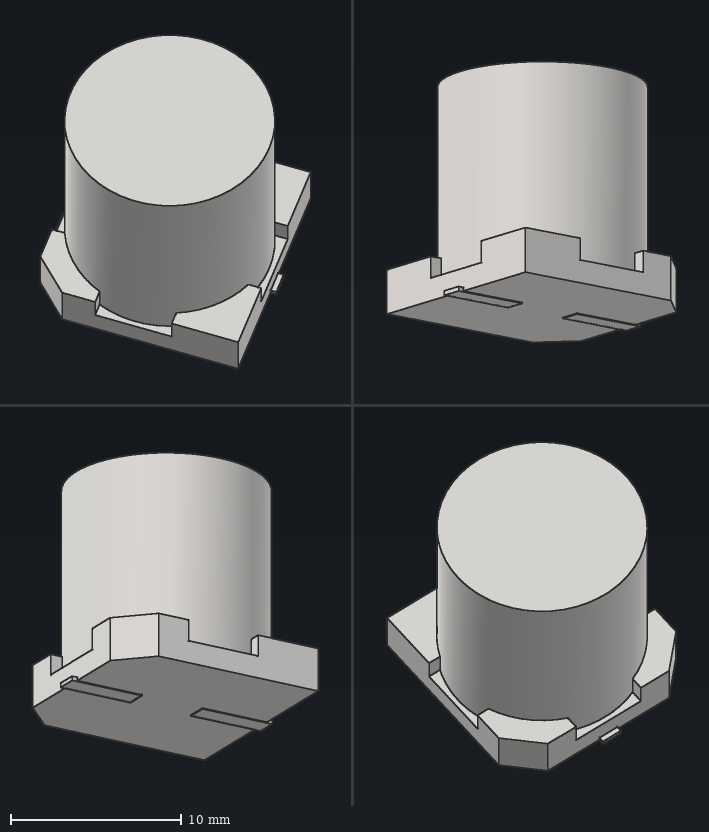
import cadquery as cq

overall_length = 13.69
overall_height = 13.54

base_side = 13.0
base_height = 2.7
standoff = 0.05
corner_chamfer = 2.07
notch_width = 4.75
notch_depth = 1.31

can_diameter = 12.35

lead_length = 4.78
lead_width = 1.33
lead_thickness = 0.27

base_top = standoff + base_height
seat_height = base_top - notch_depth
lead_center_x = (overall_length - lead_length) / 2


def make_lead(side):
    """Flat lead along X; side is -1 or +1."""
    return (
        cq.Workplane("XY")
        .center(side * lead_center_x, 0)
        .rect(lead_length, lead_width)
        .extrude(lead_thickness)
    )


def make_can():
    """Plain cylinder from the seat in the base to the top."""
    return (
        cq.Workplane("XY", origin=(0, 0, seat_height))
        .circle(can_diameter / 2)
        .extrude(overall_height - seat_height)
    )


def make_base(can, leads):
    """Square base with two chamfered -X corners, edge notches and fitted recesses."""
    base = (
        cq.Workplane("XY", origin=(0, 0, standoff))
        .rect(base_side, base_side)
        .extrude(base_height)
        .edges("|Z and <X")
        .chamfer(corner_chamfer)
    )

    for length_x, length_y in [(base_side, notch_width), (notch_width, base_side)]:
        channel = (
            cq.Workplane("XY", origin=(0, 0, seat_height))
            .rect(length_x, length_y)
            .extrude(notch_depth)
        )
        base = base.cut(channel)

    for body in [can, *leads]:
        base = base.cut(body)
    return base.solids()


can = make_can()
leads = [make_lead(side) for side in (-1, 1)]
base = make_base(can, leads)

result = cq.Compound.makeCompound([base.val(), can.val(), *[lead.val() for lead in leads]])